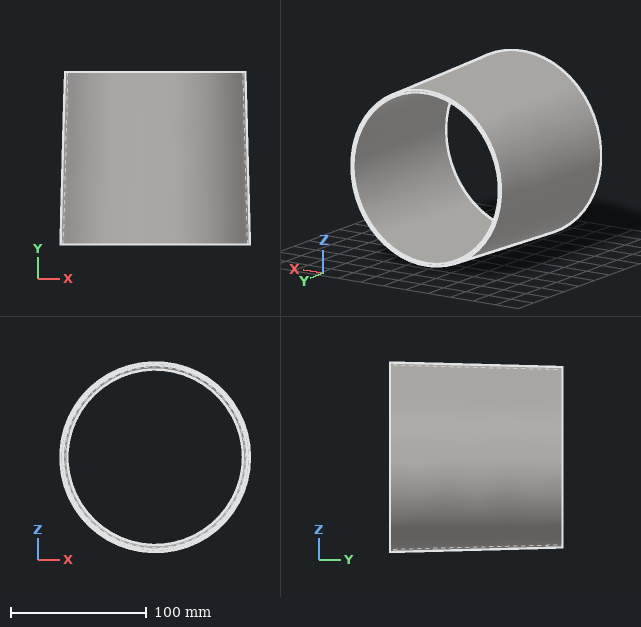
import cadquery as cq

large_diameter = 139.7
small_diameter = 133.0
length = 127.0
wall = 2.0

large_radius = large_diameter / 2
small_radius = small_diameter / 2
front_y = -length / 2
back_y = length / 2

wall_section = [
    (large_radius - wall, front_y),
    (large_radius, front_y),
    (small_radius, back_y),
    (small_radius - wall, back_y),
]

result = (
    cq.Workplane("XY")
    .polyline(wall_section)
    .close()
    .revolve(360, (0, 0, 0), (0, 1, 0))
)